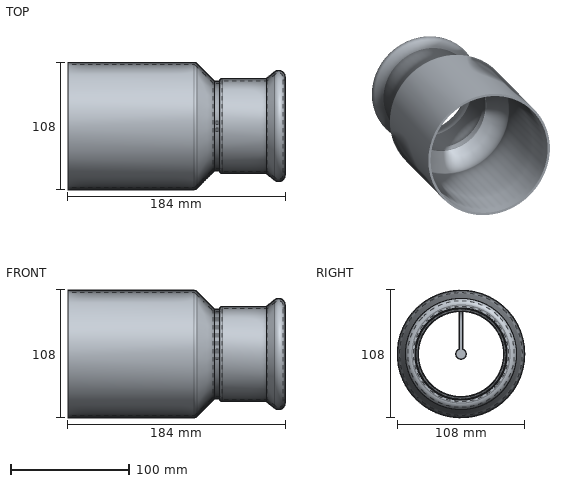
import cadquery as cq
import math

wall = 2.0
total_length = 184.0

pipe_radius = 108.0 / 2
pipe_length = 106.8
knuckle_radius = 3.4
cone_angle = math.radians(45)

neck_radius = 76.1 / 2
neck_bore_radius = neck_radius - wall
neck_ledge = 0.6
ledge_radius = neck_bore_radius + neck_ledge
neck_end = 128.4

socket_radius = 80.7 / 2
socket_bore_radius = socket_radius - wall
socket_end = 168.0

bead_outer_radius = 94.2 / 2
bead_round = 5.6
bead_inner_round = bead_round - wall
lip_radius = 78.2 / 2

marker_disc_radius = 4.5
marker_bar_width = 3.0
marker_thickness = 2.0


def arc_point(center, radius, angle):
    """Point on a circle, at an angle measured from +X towards the outside."""
    return (center[0] + radius * math.cos(angle), center[1] + radius * math.sin(angle))


knuckle_center = (pipe_length, pipe_radius - knuckle_radius)
knuckle_inner_radius = knuckle_radius - wall
straight_up = math.pi / 2
knuckle_end_angle = straight_up - cone_angle
knuckle_mid_angle = (straight_up + knuckle_end_angle) / 2
cone_start = arc_point(knuckle_center, knuckle_radius, knuckle_end_angle)
cone_inner_start = arc_point(knuckle_center, knuckle_inner_radius, knuckle_end_angle)

neck_start = cone_start[0] + (cone_start[1] - neck_radius) / math.tan(cone_angle)
ledge_x = cone_inner_start[0] + (cone_inner_start[1] - ledge_radius) / math.tan(cone_angle)

step_round = socket_radius - neck_radius
step_center = (neck_end + step_round, neck_radius)
shoulder_x = neck_end + wall

bead_center = (total_length - bead_round, bead_outer_radius - bead_round)
flare_run = bead_center[0] - socket_end
flare_rise = bead_center[1] - socket_radius
flare_reach = math.hypot(flare_run, flare_rise)
flare_angle = math.atan2(flare_rise, flare_run) + math.asin(bead_round / flare_reach)
flare_end_angle = straight_up + flare_angle
bead_mid_angle = flare_end_angle / 2
flare_end = arc_point(bead_center, bead_round, flare_end_angle)
flare_inner_end = arc_point(bead_center, bead_inner_round, flare_end_angle)
flare_inner_start = flare_inner_end[0] - (flare_inner_end[1] - socket_bore_radius) / math.tan(flare_angle)


def make_fitting():
    """Reducer tube, its wall section revolved about the X axis."""
    section = (
        cq.Workplane("XY")
        .moveTo(0, pipe_radius)
        .lineTo(pipe_length, pipe_radius)
        .threePointArc(arc_point(knuckle_center, knuckle_radius, knuckle_mid_angle), cone_start)
        .lineTo(neck_start, neck_radius)
        .lineTo(neck_end, neck_radius)
        .threePointArc(
            arc_point(step_center, step_round, math.radians(135)),
            (step_center[0], socket_radius),
        )
        .lineTo(socket_end, socket_radius)
        .lineTo(*flare_end)
        .threePointArc(
            arc_point(bead_center, bead_round, bead_mid_angle),
            (total_length, bead_center[1]),
        )
        .lineTo(total_length, lip_radius)
        .lineTo(total_length - wall, lip_radius)
        .lineTo(total_length - wall, bead_center[1])
        .threePointArc(
            arc_point(bead_center, bead_inner_round, bead_mid_angle),
            flare_inner_end,
        )
        .lineTo(flare_inner_start, socket_bore_radius)
        .lineTo(shoulder_x, socket_bore_radius)
        .lineTo(shoulder_x, neck_bore_radius)
        .lineTo(ledge_x, neck_bore_radius)
        .lineTo(ledge_x, ledge_radius)
        .lineTo(*cone_inner_start)
        .threePointArc(
            arc_point(knuckle_center, knuckle_inner_radius, knuckle_mid_angle),
            (pipe_length, pipe_radius - wall),
        )
        .lineTo(0, pipe_radius - wall)
        .close()
    )
    return section.revolve(360, (0, 0, 0), (1, 0, 0))


def make_marker():
    """Flat disc and bar in the middle of the neck; the bar ends on the neck bore."""
    marker_x = (neck_start + neck_end - marker_thickness) / 2
    plane = cq.Workplane("YZ", origin=(marker_x, 0, 0))
    disc = plane.circle(marker_disc_radius).extrude(marker_thickness)
    bar = (
        plane.center(0, neck_radius / 2)
        .rect(marker_bar_width, neck_radius)
        .extrude(marker_thickness)
    )
    bore = plane.circle(neck_bore_radius).extrude(marker_thickness)
    return disc.union(bar).intersect(bore)


fitting = make_fitting()
marker = make_marker()

result = cq.Compound.makeCompound([fitting.val(), *marker.vals()])